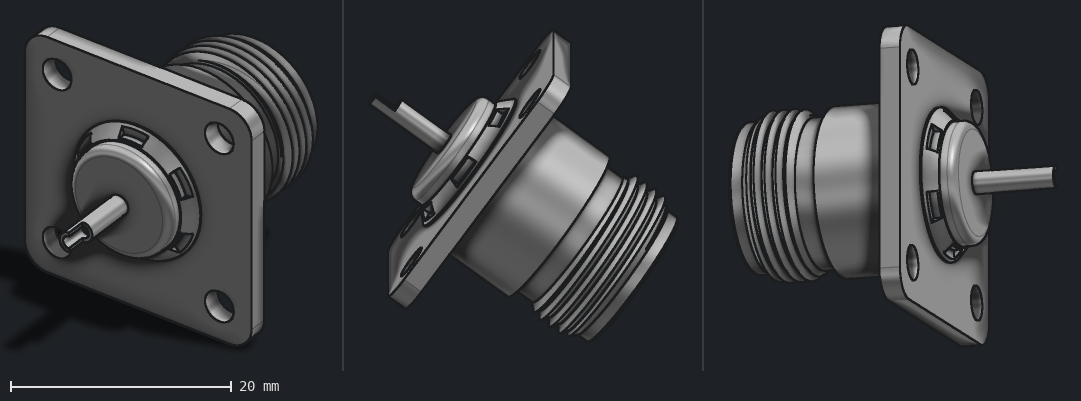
import cadquery as cq
import math


flange_side = 25.4
flange_thickness = 1.98
flange_corner_radius = 2.5
hole_diameter = 3.2
hole_spacing = 18.15

total_length = 29.1
pin_reach = 10.7
front_end = total_length - pin_reach
body_radius = 7.9
body_end = 9.9
neck_radius = 6.98
front_chamfer = 0.25

thread_start = 12.0
thread_end = 17.02
thread_pitch = 1.05
thread_crest_radius = body_radius
thread_root_radius = 7.2
thread_crest_y = 15.1
root_flat = 0.017
crest_clearance = 0.15
core_overrun = 0.58
ridge_embed = 0.015

collar_radius = 7.07
collar_rim = 0.15
collar_length = 1.4
cap_radius = 5.7
cap_end = 2.97
cap_fillet = 0.81

pocket_count = 6
pocket_angle = 25.0
pocket_floor_radius = 5.95
pocket_near = 0.45
pocket_far = 1.22

pin_radius = 1.05
cup_radius = 0.65
cup_depth = 2.9
cup_opening = 2.18


def cylinder(radius, y_start, y_end):
    """Solid cylinder on the Y axis between two Y positions."""
    return cq.Workplane("XZ", origin=(0, y_end, 0)).circle(radius).extrude(y_end - y_start)


def revolved(profile):
    """Solid of revolution about Y from (radius, y) points; the axis closes the outline."""
    return cq.Workplane("XY").polyline(profile).close().revolve(360, (0, 0, 0), (0, 1, 0))


def make_flange():
    plate = (
        cq.Workplane("XZ", origin=(0, flange_thickness, 0))
        .rect(flange_side, flange_side)
        .extrude(flange_thickness)
        .edges("|Y")
        .fillet(flange_corner_radius)
    )
    holes = (
        cq.Workplane("XZ", origin=(0, flange_thickness, 0))
        .rect(hole_spacing, hole_spacing, forConstruction=True)
        .vertices()
        .circle(hole_diameter / 2)
        .extrude(flange_thickness)
    )
    return plate.cut(holes)


def make_barrel():
    body = cylinder(body_radius, 0, body_end)
    neck = cylinder(neck_radius, 0, front_end).faces(">Y").chamfer(front_chamfer)
    return body.union(neck)


def make_thread():
    """Right-handed V ridge on a core, trimmed by an envelope with 45 degree ends."""
    turns_below = math.ceil((thread_crest_y - thread_start) / thread_pitch)
    helix_start = thread_crest_y - turns_below * thread_pitch
    turns = math.ceil((thread_end - helix_start) / thread_pitch) + 1
    half_base = (thread_pitch - root_flat) / 2
    ridge_foot_radius = thread_root_radius - ridge_embed

    helix = cq.Wire.makeHelix(thread_pitch, turns * thread_pitch, ridge_foot_radius)
    ridge = (
        cq.Workplane("XZ")
        .polyline([
            (ridge_foot_radius, -half_base),
            (thread_crest_radius, 0),
            (ridge_foot_radius, half_base),
        ])
        .close()
        .sweep(cq.Workplane(obj=helix), isFrenet=True)
        .rotate((0, 0, 0), (1, 0, 0), -90)
        .translate((0, helix_start, 0))
    )

    envelope_radius = thread_crest_radius + crest_clearance
    end_bevel = envelope_radius - neck_radius
    envelope = revolved([
        (0, thread_start),
        (neck_radius, thread_start),
        (envelope_radius, thread_start + end_bevel),
        (envelope_radius, thread_end - end_bevel),
        (neck_radius, thread_end),
        (0, thread_end),
    ])
    core = cylinder(thread_root_radius, thread_start - core_overrun, thread_end + core_overrun)
    return core.union(ridge).intersect(envelope)


def make_collar():
    cone_drop = collar_length - collar_rim
    collar = revolved([
        (0, 0),
        (collar_radius, 0),
        (collar_radius, -collar_rim),
        (collar_radius - cone_drop, -collar_length),
        (0, -collar_length),
    ])
    half_angle = math.radians(pocket_angle / 2)
    reach = 2 * collar_radius
    wedge = (
        cq.Workplane("XZ", origin=(0, -pocket_near, 0))
        .polyline([
            (0, 0),
            (reach * math.sin(half_angle), reach * math.cos(half_angle)),
            (-reach * math.sin(half_angle), reach * math.cos(half_angle)),
        ])
        .close()
        .extrude(pocket_far - pocket_near)
    )
    pocket = wedge.cut(cylinder(pocket_floor_radius, -pocket_far, -pocket_near))
    for i in range(pocket_count):
        collar = collar.cut(pocket.rotate((0, 0, 0), (0, 1, 0), i * 360 / pocket_count))
    cap = cylinder(cap_radius, -cap_end, 0).faces("<Y").edges().fillet(cap_fillet)
    return collar.union(cap)


def make_pin():
    pin = cylinder(pin_radius, -pin_reach, 0)
    cup = cylinder(cup_radius, -pin_reach, cup_depth - pin_reach)
    opening = cq.Workplane("XY").box(
        pin_radius, cup_opening, 2 * pin_radius, centered=(False, False, True)
    ).translate((0, -pin_reach, 0))
    return pin.cut(cup).cut(opening)


result = (
    make_flange()
    .union(make_barrel())
    .union(make_thread())
    .union(make_collar())
    .union(make_pin())
)